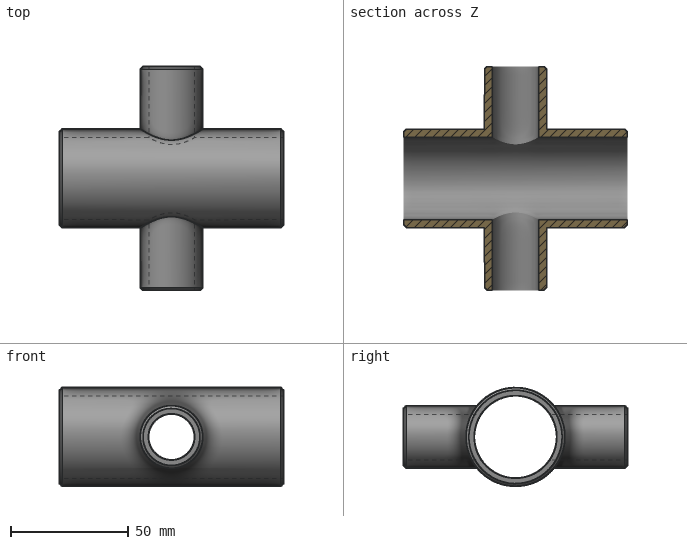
import cadquery as cq

overall_length = 95.5
run_diameter = 42.16
branch_diameter = 26.67
wall = 3.56
end_chamfer = 1.2


def centered_cylinder(plane, diameter):
    """Cylinder of the overall length, centred on the origin along the plane's normal."""
    return cq.Workplane(plane).circle(diameter / 2).extrude(overall_length / 2, both=True)


def beveled_bar(plane, diameter):
    """Solid bar with a beveled outer edge at both ends."""
    return centered_cylinder(plane, diameter).edges("%CIRCLE").chamfer(end_chamfer)


def bore(plane, outer_diameter):
    """Through bore that leaves the wall thickness inside the given outer diameter."""
    return centered_cylinder(plane, outer_diameter - 2 * wall)


run_plane = cq.Plane.YZ()
branch_plane = cq.Plane.XZ()

body = beveled_bar(run_plane, run_diameter).union(beveled_bar(branch_plane, branch_diameter))
result = body.cut(bore(run_plane, run_diameter)).cut(bore(branch_plane, branch_diameter))